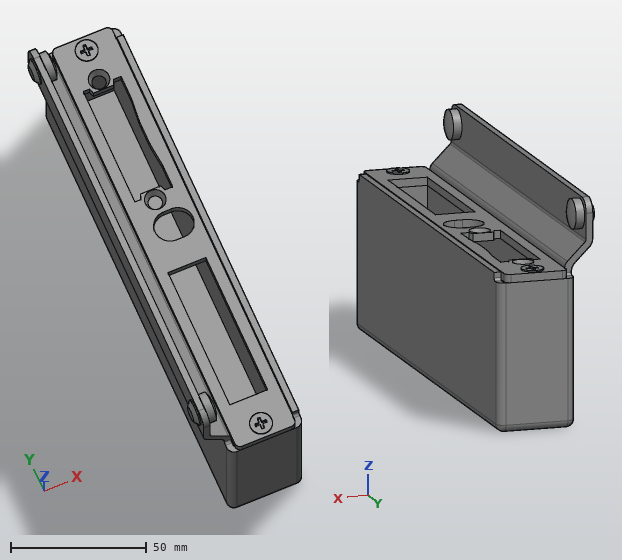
import cadquery as cq
import math

length = 173.0
width = 30.0
top_z = 60.0
sheet = 2.6
outer_radius = 3.0

upper_length = 163.0
root_radius = 1.0

flange_offset = 8.3
flange_top_z = 85.0
lower_bend_inner_radius = 5.0
lower_bend_outer_radius = 3.5
upper_bend_inner_radius = 1.4
bend_angle = math.radians(45)
flange_corner_radius = 5.0

plate_thickness = 3.1
plate_gap = 0.3
plate_corner_radius = 2.0

opening_width = 15.2
latch_opening_length = 48.0
latch_opening_y = 42.5
bulge_length = 28.4
bulge_depth = 1.0
tab_tip_width = 8.1
tab_root_width = 9.7
tab_depth = 2.0
bolt_opening_length = 57.5
bolt_opening_y = -40.8
oval_length = 15.2
oval_width = 12.1
oval_x = 2.0
oval_y = 4.7
latch_hole_spacing = 52.2
latch_hole_diameter = 5.4
latch_hole_rim_diameter = 8.0
latch_axis_x = -0.3

screw_y = 81.0
screw_head_diameter = 8.5
screw_head_rise = 0.5
screw_shank_diameter = 4.0
cross_length = 4.5
cross_slot_width = 1.0
cross_depth = 1.4

rivet_y = 74.0
rivet_drop = 6.7
rivet_neck_diameter = 7.0
button_diameter = 10.0
button_face_diameter = 6.0
button_height = 2.0
button_rim_height = 0.5
pad_diameter = 11.5
pad_rim_height = 3.3
pad_dome_height = 1.4

shoulder_z = top_z - plate_thickness
lower_bend_start_z = shoulder_z + root_radius
plate_width = width - 2 * (sheet + plate_gap)
wall_x = -width / 2
flange_x = wall_x - flange_offset
rivet_z = flange_top_z - rivet_drop


def make_box():
    box = cq.Workplane("XY").box(width, length, shoulder_z, centered=(True, True, False))
    box = box.edges("|Z").fillet(outer_radius)
    box = box.faces("<Z").edges().fillet(outer_radius)
    cavity = cq.Workplane("XY").box(width - 2 * sheet, length - 2 * sheet, shoulder_z,
                                    centered=(True, True, False))
    return box.cut(cavity.translate((0, 0, sheet)))


def make_wall_root(outer_x):
    """Foot of a side wall's upper strip, flared by a concave round where it meets the lower wall."""
    half = upper_length / 2
    arc_y = half + root_radius * (1 - math.sin(math.pi / 4))
    arc_z = root_radius * (1 - math.cos(math.pi / 4))
    return (
        cq.Workplane("YZ", origin=(outer_x, 0, shoulder_z))
        .moveTo(-half - root_radius, 0)
        .lineTo(half + root_radius, 0)
        .threePointArc((arc_y, arc_z), (half, root_radius))
        .lineTo(-half, root_radius)
        .threePointArc((-arc_y, arc_z), (-half - root_radius, 0))
        .close()
        .extrude(sheet)
    )


def make_right_wall_top():
    wall = cq.Workplane("XY").box(sheet, upper_length, plate_thickness, centered=(False, True, False))
    return wall.translate((-wall_x - sheet, 0, shoulder_z))


def make_flange():
    """Joggled flange: mitred sheet outline with both bends rounded."""
    half_turn = math.tan(bend_angle / 2)
    lower_z = lower_bend_start_z + lower_bend_inner_radius * half_turn
    upper_z = lower_z + flange_offset / math.tan(bend_angle)
    mitre = sheet * half_turn
    outline = [
        (wall_x, shoulder_z),
        (wall_x, lower_z),
        (flange_x, upper_z),
        (flange_x, flange_top_z),
        (flange_x + sheet, flange_top_z),
        (flange_x + sheet, upper_z + mitre),
        (wall_x + sheet, lower_z + mitre),
        (wall_x + sheet, shoulder_z),
    ]
    flange = (
        cq.Workplane("XZ")
        .polyline(outline)
        .close()
        .extrude(upper_length / 2, both=True)
    )
    bends = [
        (outline[1], lower_bend_inner_radius),
        (outline[6], lower_bend_outer_radius),
        (outline[2], upper_bend_inner_radius + sheet),
        (outline[5], upper_bend_inner_radius),
    ]
    for (x, z), radius in bends:
        flange = flange.edges(cq.NearestToPointSelector((x, 0, z))).fillet(radius)
    return flange.faces(">Z").edges("|X").fillet(flange_corner_radius)


def make_rivet_holes():
    return (
        cq.Workplane("YZ", origin=(flange_x, 0, rivet_z))
        .pushPoints([(-rivet_y, 0), (rivet_y, 0)])
        .circle(rivet_neck_diameter / 2)
        .extrude(sheet)
    )


def make_housing():
    return (
        make_box()
        .union(make_wall_root(wall_x))
        .union(make_wall_root(-wall_x - sheet))
        .union(make_right_wall_top())
        .union(make_flange())
        .cut(make_rivet_holes())
    )


def make_latch_opening():
    """Opening with a bulged right edge and a tab into each end."""
    x = opening_width / 2
    y = latch_opening_length / 2
    left_tip = latch_axis_x - tab_tip_width / 2
    right_tip = latch_axis_x + tab_tip_width / 2
    left_root = latch_axis_x - tab_root_width / 2
    right_root = latch_axis_x + tab_root_width / 2
    return (
        cq.Workplane("XY", origin=(0, latch_opening_y, shoulder_z))
        .moveTo(-x, -y)
        .lineTo(left_root, -y)
        .lineTo(left_tip, -y + tab_depth)
        .lineTo(right_tip, -y + tab_depth)
        .lineTo(right_root, -y)
        .lineTo(x, -y)
        .lineTo(x, -bulge_length / 2)
        .threePointArc((x - bulge_depth, 0), (x, bulge_length / 2))
        .lineTo(x, y)
        .lineTo(right_root, y)
        .lineTo(right_tip, y - tab_depth)
        .lineTo(left_tip, y - tab_depth)
        .lineTo(left_root, y)
        .lineTo(-x, y)
        .close()
        .extrude(plate_thickness)
    )


def make_taper(bottom_diameter, top_diameter, x, y):
    """Cone as tall as the plate is thick."""
    cone = cq.Solid.makeCone(bottom_diameter / 2, top_diameter / 2, plate_thickness,
                             pnt=cq.Vector(x, y, shoulder_z))
    return cq.Workplane(obj=cone)


def make_plate():
    plate = (
        cq.Workplane("XY", origin=(0, 0, shoulder_z))
        .rect(plate_width, length)
        .extrude(plate_thickness)
        .edges("|Z")
        .fillet(plate_corner_radius)
    )
    bolt_opening = (
        cq.Workplane("XY", origin=(0, bolt_opening_y, shoulder_z))
        .rect(opening_width, bolt_opening_length)
        .extrude(plate_thickness)
    )
    oval = (
        cq.Workplane("XY", origin=(oval_x, oval_y, shoulder_z))
        .slot2D(oval_length, oval_width)
        .extrude(plate_thickness)
    )
    plate = plate.cut(make_latch_opening()).cut(bolt_opening).cut(oval)
    for side in (-1, 1):
        hole_y = latch_opening_y + side * latch_hole_spacing / 2
        latch_hole = make_taper(latch_hole_diameter, latch_hole_rim_diameter, latch_axis_x, hole_y)
        screw_hole = make_taper(screw_shank_diameter, screw_head_diameter, 0, side * screw_y)
        plate = plate.cut(latch_hole).cut(screw_hole)
    return plate


def make_screw(y):
    """Countersunk screw with a thin raised head and a cross recess."""
    head_top = top_z + screw_head_rise
    head = (
        cq.Workplane("XY", origin=(0, y, top_z))
        .circle(screw_head_diameter / 2)
        .extrude(screw_head_rise)
    )
    cross = (
        cq.Workplane("XY", origin=(0, y, head_top))
        .rect(cross_length, cross_slot_width)
        .extrude(-cross_depth)
        .union(
            cq.Workplane("XY", origin=(0, y, head_top))
            .rect(cross_slot_width, cross_length)
            .extrude(-cross_depth)
        )
    )
    taper = make_taper(screw_shank_diameter, screw_head_diameter, 0, y)
    return taper.union(head).cut(cross)


def make_rivet(y):
    """Rivet turned about X: sloped button, neck through the flange, domed pad."""
    neck = rivet_neck_diameter / 2
    pad = pad_diameter / 2
    pad_rim = sheet + pad_rim_height
    dome_radius = (pad ** 2 + pad_dome_height ** 2) / (2 * pad_dome_height)
    dome_mid_drop = dome_radius - math.sqrt(dome_radius ** 2 - (pad / 2) ** 2)
    dome_top = pad_rim + pad_dome_height
    return (
        cq.Workplane("XY")
        .moveTo(-button_height, 0)
        .lineTo(-button_height, button_face_diameter / 2)
        .lineTo(-button_rim_height, button_diameter / 2)
        .lineTo(0, button_diameter / 2)
        .lineTo(0, neck)
        .lineTo(sheet, neck)
        .lineTo(sheet, pad)
        .lineTo(pad_rim, pad)
        .threePointArc((dome_top - dome_mid_drop, pad / 2), (dome_top, 0))
        .close()
        .revolve(360, (0, 0, 0), (1, 0, 0))
        .translate((flange_x, y, rivet_z))
    )


housing = make_housing()
plate = make_plate()
screws = [make_screw(side * screw_y) for side in (-1, 1)]
rivets = [make_rivet(side * rivet_y) for side in (-1, 1)]

result = cq.Compound.makeCompound(
    [housing.val(), plate.val()]
    + [screw.val() for screw in screws]
    + [rivet.val() for rivet in rivets]
)